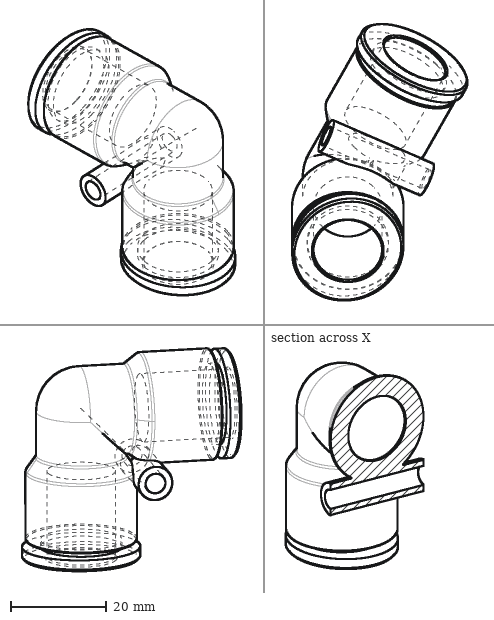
import cadquery as cq
import math


pipe_diameter = 19.0

body_diameter = 23.5
body_end_station = 27.9
body_end_chamfer = 0.25
cone_outer_station = 13.0
cone_inner_station = 9.75
cone_blend_radius = 1.0

collar_length = 25.0
collar_width = 23.0
collar_thickness = 2.5
collar_chamfer = 0.5
collar_face_station = 31.9
sleeve_diameter = 17.1

bore_diameter = 14.4
bore_chamfer = 0.35
bore_depth = collar_face_station - cone_outer_station

lug_diameter = 7.25
lug_hole_diameter = 4.25
lug_length = body_diameter
lug_offset = 13.45
web_thickness = 1.0
web_width = 2.0


def make_body():
    """Socket body and elbow pipe, turned about Z with the open end down."""
    pipe_radius = pipe_diameter / 2
    body_radius = body_diameter / 2
    blank = (
        cq.Workplane("XZ")
        .polyline([
            (0, 0),
            (pipe_radius, 0),
            (pipe_radius, -cone_inner_station),
            (body_radius, -cone_outer_station),
            (body_radius, -body_end_station),
            (0, -body_end_station),
        ])
        .close()
        .revolve(360, (0, 0, 0), (0, 1, 0))
    )
    cone_edges = blank.faces("%CONE").edges("%CIRCLE")
    blended = cone_edges.fillet(cone_blend_radius)
    return blended.faces("<Z").edges().chamfer(body_end_chamfer)


def make_collar():
    """Oval collar, long axis on X, with the round sleeve leading into the body."""
    collar = (
        cq.Workplane("XY", origin=(0, 0, -collar_face_station))
        .ellipse(collar_length / 2, collar_width / 2)
        .extrude(collar_thickness)
        .faces("<Z").edges().chamfer(collar_chamfer)
    )
    sleeve = (
        cq.Workplane("XY", origin=(0, 0, -collar_face_station))
        .circle(sleeve_diameter / 2)
        .extrude(collar_face_station - body_end_station)
    )
    return collar.union(sleeve)


def make_bore():
    """Blind bore with its chamfered mouth, as a cutting tool."""
    bore_radius = bore_diameter / 2
    return (
        cq.Workplane("XZ")
        .polyline([
            (0, -collar_face_station),
            (bore_radius + bore_chamfer, -collar_face_station),
            (bore_radius, -collar_face_station + bore_chamfer),
            (bore_radius, -collar_face_station + bore_depth),
            (0, -collar_face_station + bore_depth),
        ])
        .close()
        .revolve(360, (0, 0, 0), (0, 1, 0))
    )


def to_horizontal(socket):
    """Turn a downward socket to point along -X, its collar's long axis along Y."""
    return socket.rotate((0, 0, 0), (0, 0, 1), 90).rotate((0, 0, 0), (0, 1, 0), 90)


def corner_cylinder(diameter):
    """Cylinder along Y on the lug axis, centred on the mid-plane."""
    return (
        cq.Workplane("XZ", origin=(-lug_offset, 0, -lug_offset))
        .circle(diameter / 2)
        .extrude(lug_length / 2, both=True)
    )


def make_web():
    """Thin mid-plane web filling the gap between the two cones, from the elbow to the lug axis."""
    diagonal = math.hypot(lug_offset, lug_offset)
    return (
        cq.Workplane("XY")
        .box(diagonal, web_thickness, web_width)
        .translate((-diagonal / 2, 0, 0))
        .rotate((0, 0, 0), (0, 1, 0), -45)
    )


socket = make_body().union(make_collar())
ball = cq.Workplane("XY").sphere(pipe_diameter / 2)

result = (
    socket
    .union(to_horizontal(socket))
    .union(ball)
    .union(make_web())
    .union(corner_cylinder(lug_diameter))
    .cut(corner_cylinder(lug_hole_diameter))
    .cut(make_bore())
    .cut(to_horizontal(make_bore()))
)